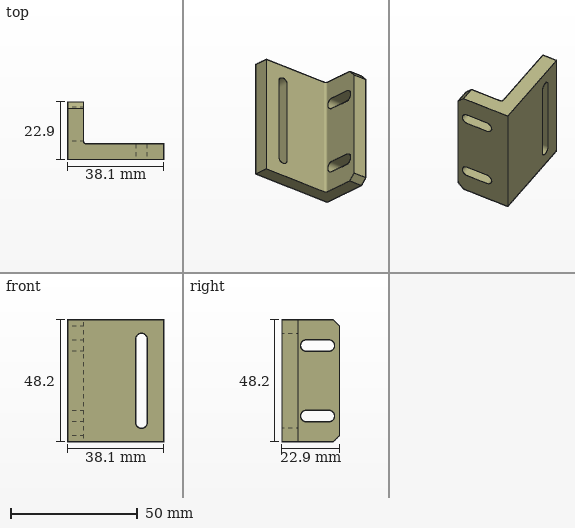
import cadquery as cq

width = 38.1
depth = 22.88
height = 48.25
thickness = 6.3
inner_radius = 1.0
corner_chamfer = 2.55

slot_width = 4.5
long_slot_length = 37.5
long_slot_edge_distance = 8.9
short_slot_length = 13.35
short_slot_edge_gap = 2.08
short_slot_spacing = 27.85


def make_bracket():
    """L profile in XY, extruded upward, with a rounded inner corner."""
    profile = [
        (0, 0),
        (width, 0),
        (width, thickness),
        (thickness, thickness),
        (thickness, depth),
        (0, depth),
    ]
    body = cq.Workplane("XY").polyline(profile).close().extrude(height)
    inner_edge = cq.selectors.NearestToPointSelector((thickness, thickness, height / 2))
    body = body.edges("|Z").edges(inner_edge).fillet(inner_radius)
    return body.faces(">Y").edges("|X").chamfer(corner_chamfer)


def make_long_slot():
    """Vertical slot through the wide leg."""
    return (
        cq.Workplane("XZ")
        .center(width - long_slot_edge_distance, height / 2)
        .slot2D(long_slot_length, slot_width, 90)
        .extrude(-thickness)
    )


def make_short_slots():
    """Pair of horizontal slots through the short leg, centred in height."""
    center_y = depth - short_slot_edge_gap - short_slot_length / 2
    half_spacing = short_slot_spacing / 2
    return (
        cq.Workplane("YZ")
        .center(center_y, height / 2)
        .pushPoints([(0, -half_spacing), (0, half_spacing)])
        .slot2D(short_slot_length, slot_width)
        .extrude(thickness)
    )


result = make_bracket().cut(make_long_slot()).cut(make_short_slots())